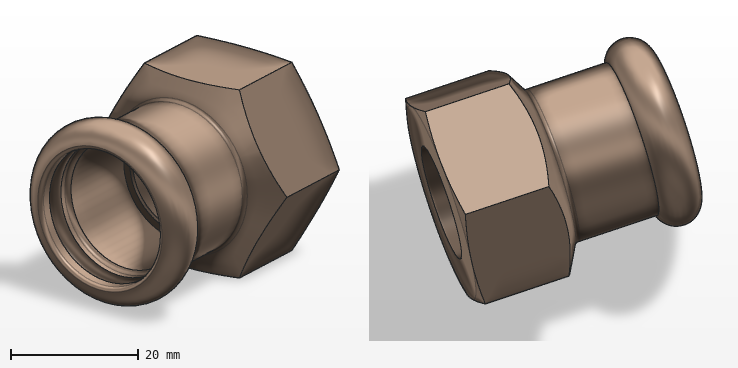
import cadquery as cq
import math

length = 39.0
bead_width = 7.3
flat_start = 22.97

across_flats = 32.0
across_corners = across_flats / math.cos(math.radians(30))
cone_angle = 30.0
end_chamfer_angle = 15.0
blank_allowance = 0.4

bead_diameter = 30.85
neck_diameter = 25.3
neck_fillet = 0.85
face_diameter = 24.2

lip_diameter = 22.9
lip_end = 2.22
seal_groove_diameter = 26.9
seal_groove_end = 5.25
land_end = 6.28
socket_start = 7.1
socket_diameter = 21.65
socket_end = 21.05
stop_diameter = 19.3
stop_chamfer = 0.35
through_diameter = 18.65


def revolve_about_y(profile):
    return profile.close().revolve(360, (0, 0, 0), (0, 1, 0))


def make_hexagon_and_neck():
    """Hexagonal prism turned down to a cone and neck, with a chamfered end."""
    neck_radius = neck_diameter / 2
    flat_radius = across_flats / 2
    blank_radius = across_corners / 2 + blank_allowance
    cone_slope = math.tan(math.radians(cone_angle))
    chamfer_slope = math.tan(math.radians(end_chamfer_angle))
    cone_root = flat_start - (flat_radius - neck_radius) * cone_slope
    cone_rim = flat_start + (blank_radius - flat_radius) * cone_slope
    chamfer_rim = length - (blank_radius - flat_radius) * chamfer_slope

    setback = neck_fillet * math.tan(math.radians((90 - cone_angle) / 2))
    fillet_start = (neck_radius, cone_root - setback)
    fillet_end = (
        neck_radius + setback * math.cos(math.radians(cone_angle)),
        cone_root + setback * math.sin(math.radians(cone_angle)),
    )
    neck_start = bead_width / 2

    turned = revolve_about_y(
        cq.Workplane("XY")
        .moveTo(0, neck_start)
        .lineTo(neck_radius, neck_start)
        .lineTo(*fillet_start)
        .radiusArc(fillet_end, neck_fillet)
        .lineTo(blank_radius, cone_rim)
        .lineTo(blank_radius, chamfer_rim)
        .lineTo(flat_radius, length)
        .lineTo(0, length)
    )
    hexagon = cq.Workplane("XZ").polygon(6, across_corners).extrude(-length)
    return turned.intersect(hexagon)


def make_bead():
    """Rounded bead around the socket mouth."""
    radius = bead_width / 2
    face_radius = face_diameter / 2
    return revolve_about_y(
        cq.Workplane("XY")
        .lineTo(face_radius, 0)
        .threePointArc((bead_diameter / 2, radius), (neck_diameter / 2, bead_width))
        .lineTo(0, bead_width)
    )


def make_bore():
    """Lip, rounded seal groove, tube socket, stop and through bore."""
    lip_radius = lip_diameter / 2
    lip_rounding = (face_diameter - lip_diameter) / 2
    groove_middle = (lip_end + seal_groove_end) / 2
    socket_radius = socket_diameter / 2
    shoulder_height = lip_radius - socket_radius
    shoulder_length = socket_start - land_end
    shoulder_rounding = (shoulder_height**2 + shoulder_length**2) / (2 * shoulder_height)
    return revolve_about_y(
        cq.Workplane("XY")
        .lineTo(face_diameter / 2, 0)
        .radiusArc((lip_radius, lip_rounding), lip_rounding)
        .lineTo(lip_radius, lip_end)
        .threePointArc((seal_groove_diameter / 2, groove_middle), (lip_radius, seal_groove_end))
        .lineTo(lip_radius, land_end)
        .radiusArc((socket_radius, socket_start), -shoulder_rounding)
        .lineTo(socket_radius, socket_end)
        .lineTo(stop_diameter / 2, socket_end)
        .lineTo(through_diameter / 2, socket_end + stop_chamfer)
        .lineTo(through_diameter / 2, length)
        .lineTo(0, length)
    )


result = make_hexagon_and_neck().union(make_bead()).cut(make_bore())